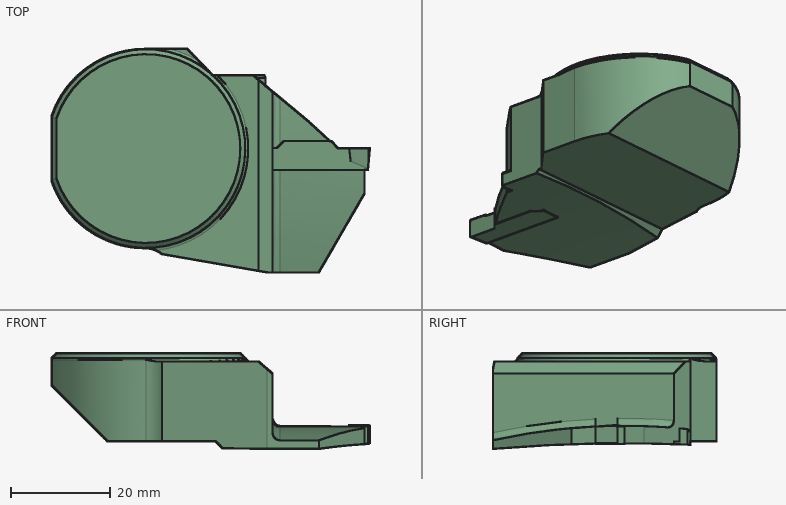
import cadquery as cq
import math

cap_top = 17.73
cap_edge = 1.0
plate_top = 16.1
cap_blend = 0.6
cap_radius = 20.0
head_radius = 20.1
rear_flat_x = -19.0
rear_bevel_z = 11.25

side_relief_radius = 5.0
side_relief_end = 3.2
front_y = -24.95
front_start_x = 24.4
shoulder_x = 8.3
notch_y = 14.8
notch_x = 13.4
wall_x = 25.5
wall_bevel_length = 2.85
wall_bevel_height = 2.47

finger_start = (21.5, notch_y)
finger_bend = (32.7, 5.5)
finger_tip = (37.05, 1.5)

foot_start_x = 14.0
blade_corner_x = 34.8
blade_end_x = 44.0
blade_end_y = -9.07
ledge_x = 24.1
ledge_chamfer_x = 0.3
ledge_chamfer_y = 0.6

top_crown_y = 1.5
top_crown_z = 3.12
top_front_z = 0.2
bottom_crown_y = 1.5
bottom_crown_z = -0.42
bottom_front_z = -1.55
wall_fillet = 1.5

seat_y = -4.3
rake_y = 0.1
insert_back_y = finger_tip[1]
insert_bottom = -0.55
insert_top = 2.98
insert_hump = (26.35, 27.75, 37.4, 38.6)
edge_x = 45.1
heel_x = 44.7
tip_start_x = 40.9
tip_top = 3.3
tip_start_top = 3.24
tip_start_lean = 0.3
edge_chamfer = 0.25
tip_start_y = -2.4
tip_end_y = -4.2
pocket_height = 8.0


def arc_radius(half_chord, drop):
    """Radius of an arc that falls by `drop` over `half_chord` from its crown."""
    return (half_chord ** 2 + drop ** 2) / (2 * drop)


def side_relief_y(x):
    """Y of the hollow next to the round head."""
    return -head_radius - side_relief_radius + math.sqrt(side_relief_radius ** 2 - x ** 2)


def slanted_side_y(x):
    """Y of the slanted side of the head."""
    start_y = side_relief_y(side_relief_end)
    slope = (front_y - start_y) / (front_start_x - side_relief_end)
    return start_y + slope * (x - side_relief_end)


def finger_wall_y():
    """Y where the back edge of the finger crosses the end wall."""
    slope = (finger_bend[1] - finger_start[1]) / (finger_bend[0] - finger_start[0])
    return finger_start[1] + slope * (wall_x - finger_start[0])


def head_plate():
    flat_y = math.sqrt(head_radius ** 2 - rear_flat_x ** 2)
    mid = head_radius * math.sqrt(0.5)
    relief_mid = side_relief_end / 2
    return (
        cq.Workplane("XY")
        .moveTo(rear_flat_x, flat_y)
        .threePointArc((-mid, mid), (0, head_radius))
        .lineTo(shoulder_x, head_radius)
        .lineTo(notch_x, notch_y)
        .lineTo(*finger_start)
        .lineTo(wall_x, finger_wall_y())
        .lineTo(wall_x, front_y)
        .lineTo(front_start_x, front_y)
        .lineTo(side_relief_end, side_relief_y(side_relief_end))
        .threePointArc((relief_mid, side_relief_y(relief_mid)), (0, -head_radius))
        .threePointArc((-mid, -mid), (rear_flat_x, -flat_y))
        .close()
        .extrude(cap_top)
    )


def cap_and_blend():
    """Turned shape that trims the head: the cap, its chamfer and the fillet onto the plate."""
    blend_radius = cap_radius + cap_blend
    blend_top = plate_top + cap_blend
    blend_mid = cap_blend * math.sqrt(0.5)
    outer = 2 * wall_x
    return (
        cq.Workplane("XZ")
        .lineTo(outer, 0)
        .lineTo(outer, plate_top)
        .lineTo(blend_radius, plate_top)
        .threePointArc((blend_radius - blend_mid, blend_top - blend_mid), (cap_radius, blend_top))
        .lineTo(cap_radius, cap_top - cap_edge)
        .lineTo(cap_radius - cap_edge, cap_top)
        .lineTo(0, cap_top)
        .close()
        .revolve(360, (0, 0, 0), (0, 1, 0))
    )


def head_side_profile():
    """Side profile: rear flat with its top chamfer and underside bevel, and the bevelled end wall."""
    return (
        cq.Workplane("XZ")
        .polyline([
            (rear_flat_x, rear_bevel_z),
            (rear_flat_x, cap_top - cap_edge),
            (rear_flat_x + cap_edge, cap_top),
            (cap_radius, cap_top),
            (wall_x - wall_bevel_length, plate_top),
            (wall_x, plate_top - wall_bevel_height),
            (wall_x, 0),
            (rear_flat_x + rear_bevel_z, 0),
        ])
        .close()
        .extrude(2 * head_radius, both=True)
    )


def blade_plan():
    depth = -bottom_front_z
    return (
        cq.Workplane("XY")
        .workplane(offset=-depth)
        .polyline([
            (foot_start_x, slanted_side_y(foot_start_x)),
            (front_start_x, front_y),
            (blade_corner_x, front_y),
            (blade_end_x, blade_end_y),
            (blade_end_x, seat_y),
            (finger_tip[0], seat_y),
            finger_tip,
            finger_bend,
            (wall_x, finger_wall_y()),
            (ledge_x, finger_wall_y()),
            (ledge_x, notch_y - ledge_chamfer_y),
            (ledge_x - ledge_chamfer_x, notch_y),
            (foot_start_x, notch_y),
        ])
        .close()
        .extrude(depth + pocket_height)
    )


def crown_cylinder(start_x, crown_y, crown_z, front_z):
    """Cylinder along X whose top line is the crown and which passes through the front edge."""
    radius = arc_radius(crown_y - front_y, crown_z - front_z)
    return (
        cq.Workplane("YZ")
        .workplane(offset=start_x)
        .center(crown_y, crown_z - radius)
        .circle(radius)
        .extrude(blade_end_x - start_x)
    )


def wall_fillet_strip():
    """Concave fillet between the crowned blade top and the end wall."""
    radius = arc_radius(top_crown_y - front_y, top_crown_z - top_front_z)
    mid = wall_fillet * (1 - math.sqrt(0.5))
    return (
        cq.Workplane("XZ", origin=(0, top_crown_y, 0))
        .moveTo(wall_x, top_crown_z - wall_fillet)
        .lineTo(wall_x, top_crown_z + wall_fillet)
        .threePointArc((wall_x + mid, top_crown_z + mid), (wall_x + wall_fillet, top_crown_z))
        .lineTo(wall_x + wall_fillet, top_crown_z - wall_fillet)
        .close()
        .revolve(360, (0, top_crown_z - radius, 0), (1, top_crown_z - radius, 0))
    )


def blade_top_z(y):
    """Height of the crowned blade top."""
    radius = arc_radius(top_crown_y - front_y, top_crown_z - top_front_z)
    return top_crown_z - radius + math.sqrt(radius ** 2 - (y - top_crown_y) ** 2)


def ledge_bevel():
    """Cutter for the bevel along the back top edge of the ledge."""
    inner_y = notch_y - ledge_chamfer_y
    inner_z = blade_top_z(inner_y)
    return (
        cq.Workplane("YZ")
        .workplane(offset=foot_start_x)
        .polyline([
            (inner_y, inner_z),
            (inner_y, inner_z + ledge_chamfer_y),
            (notch_y, inner_z + ledge_chamfer_y),
            (notch_y, inner_z - ledge_chamfer_y),
        ])
        .close()
        .extrude(ledge_x - foot_start_x)
    )


def blade():
    top = crown_cylinder(foot_start_x, top_crown_y, top_crown_z, top_front_z)
    hollow = crown_cylinder(foot_start_x, bottom_crown_y, bottom_crown_z, bottom_front_z)
    foot_bevel = (
        cq.Workplane("XZ")
        .polyline([
            (foot_start_x, 0),
            (foot_start_x - bottom_front_z, bottom_front_z),
            (foot_start_x, bottom_front_z),
        ])
        .close()
        .extrude(2 * head_radius, both=True)
    )
    crowned = blade_plan().intersect(top.union(wall_fillet_strip()))
    return crowned.cut(hollow).cut(foot_bevel).cut(ledge_bevel())


def insert_plan(bottom, top):
    foot_in, top_in, top_out, foot_out = insert_hump
    return (
        cq.Workplane("XY")
        .workplane(offset=bottom)
        .polyline([
            (wall_x, seat_y),
            (heel_x, seat_y),
            (edge_x, rake_y),
            (foot_out, rake_y),
            (top_out, insert_back_y),
            (top_in, insert_back_y),
            (foot_in, rake_y),
            (wall_x, rake_y),
        ])
        .close()
        .extrude(top - bottom)
    )


def insert_tip():
    """Wedge on the insert side that tapers away from the cutting edge, behind a leaning step."""
    lean = tip_start_lean / (rake_y - tip_start_y)
    step = (
        cq.Workplane("XY")
        .workplane(offset=insert_top)
        .polyline([
            (tip_start_x, rake_y),
            (edge_x, rake_y),
            (heel_x, seat_y),
            (tip_start_x + lean * (rake_y - seat_y), seat_y),
        ])
        .close()
        .extrude(pocket_height)
    )
    return (
        cq.Workplane("YZ")
        .workplane(offset=tip_start_x)
        .polyline([(rake_y, insert_top), (rake_y, tip_start_top), (tip_start_y, insert_top)])
        .close()
        .workplane(offset=edge_x - tip_start_x)
        .polyline([(rake_y, insert_top), (rake_y, tip_top), (tip_end_y, insert_top)])
        .close()
        .loft(ruled=True)
        .intersect(step)
    )


def edge_corner(corner_z):
    """Diamond cutter along the end face that bevels one corner of the cutting edge."""
    slant = math.degrees(math.atan2(edge_x - heel_x, rake_y - seat_y))
    return (
        cq.Workplane("XZ")
        .polyline([
            (-edge_chamfer, 0),
            (0, edge_chamfer),
            (edge_chamfer, 0),
            (0, -edge_chamfer),
        ])
        .close()
        .extrude(2 * (rake_y - seat_y), both=True)
        .rotate((0, 0, 0), (0, 0, 1), -slant)
        .translate((edge_x, rake_y, corner_z))
    )


def make_holder():
    head = head_plate().intersect(cap_and_blend()).intersect(head_side_profile())
    pocket = insert_plan(bottom_front_z, pocket_height)
    return head.union(blade()).cut(pocket)


def make_insert():
    body = insert_plan(insert_bottom, insert_top).union(insert_tip())
    return body.cut(edge_corner(tip_top)).cut(edge_corner(insert_bottom))


holder = make_holder()
insert = make_insert()
result = cq.Compound.makeCompound([holder.val(), insert.val()])